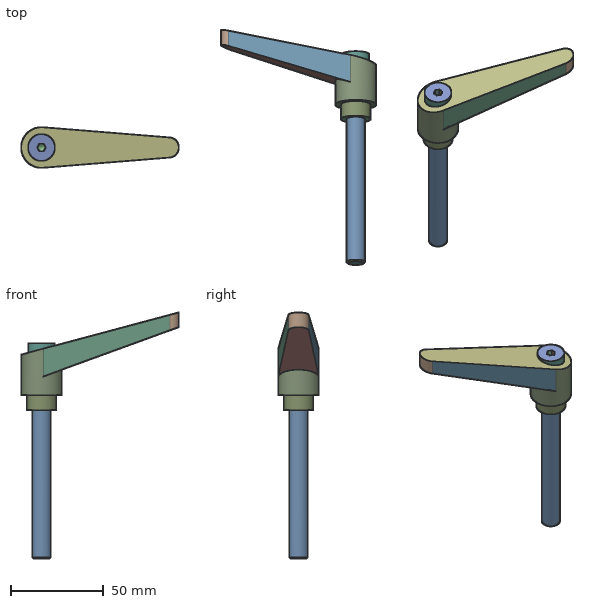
import cadquery as cq
import math


stud_diameter = 10.0
stud_length = 80.0
stud_chamfer = 0.8
collar_diameter = 16.0
collar_height = 8.0
hub_diameter = 22.0
hub_radius = hub_diameter / 2

overall_height = 132.66
arm_reach = 74.0
tip_radius = 5.5
top_slope = math.radians(15)
underside_slope = math.radians(20)
tip_thickness = 8.0

head_diameter = 14.5
head_top = 36.0
socket_across_flats = 4.0
socket_depth = 6.0
socket_point_half_angle = math.radians(60)

socket_corner_radius = socket_across_flats / math.sqrt(3)
socket_bottom = head_top - socket_depth
socket_point = socket_bottom - socket_corner_radius / math.tan(socket_point_half_angle)
tip_center = arm_reach - tip_radius
tip_top = overall_height - stud_length
tip_bottom = tip_top - tip_thickness
hub_low_edge = tip_top - (arm_reach + hub_radius) * math.tan(top_slope)

flank_sine = (hub_radius - tip_radius) / tip_center
flank_cosine = math.sqrt(1 - flank_sine**2)
hub_tangent_x = hub_radius * flank_sine
hub_tangent_y = hub_radius * flank_cosine
tip_tangent_x = tip_center + tip_radius * flank_sine
tip_tangent_y = tip_radius * flank_cosine
arm_root_bottom = tip_bottom - (arm_reach - hub_tangent_x) * math.tan(underside_slope)


def cylinder(diameter, bottom, top):
    return cq.Workplane("XY").workplane(offset=bottom).circle(diameter / 2).extrude(top - bottom)


def side_slab(points):
    """Profile in the XZ plane, extruded across the full lever width."""
    return cq.Workplane("XZ").polyline(points).close().extrude(hub_radius, both=True)


def make_stud():
    return cylinder(stud_diameter, -stud_length, 0).faces("<Z").chamfer(stud_chamfer)


def make_hub():
    top_at_far_side = hub_low_edge + hub_diameter * math.tan(top_slope)
    slanted_slab = side_slab([
        (-hub_radius, collar_height),
        (hub_radius, collar_height),
        (hub_radius, top_at_far_side),
        (-hub_radius, hub_low_edge),
    ])
    return cylinder(hub_diameter, collar_height, tip_top).intersect(slanted_slab)


def make_arm():
    plan = (
        cq.Workplane("XY")
        .moveTo(hub_tangent_x, -hub_tangent_y)
        .lineTo(tip_tangent_x, -tip_tangent_y)
        .threePointArc((arm_reach, 0), (tip_tangent_x, tip_tangent_y))
        .lineTo(hub_tangent_x, hub_tangent_y)
        .close()
        .extrude(tip_top)
    )
    root_top = hub_low_edge + (hub_tangent_x + hub_radius) * math.tan(top_slope)
    taper = side_slab([
        (hub_tangent_x, arm_root_bottom),
        (arm_reach, tip_bottom),
        (arm_reach, tip_top),
        (hub_tangent_x, root_top),
    ])
    return plan.intersect(taper)


def make_screw_head():
    return cylinder(head_diameter, collar_height, head_top)


def make_socket():
    """Hexagon with two corners on the X direction, ending in a conical drill point."""
    drilled = (
        cq.Workplane("XZ")
        .moveTo(0, head_top)
        .lineTo(socket_corner_radius, head_top)
        .lineTo(socket_corner_radius, socket_bottom)
        .lineTo(0, socket_point)
        .close()
        .revolve(360, (0, 0), (0, 1))
    )
    hexagon = (
        cq.Workplane("XY")
        .workplane(offset=socket_point)
        .polygon(6, 2 * socket_corner_radius)
        .extrude(head_top - socket_point)
    )
    return hexagon.intersect(drilled)


collar = cylinder(collar_diameter, 0, collar_height)
result = make_stud().union(collar).union(make_hub()).union(make_arm())
result = result.union(make_screw_head()).cut(make_socket())